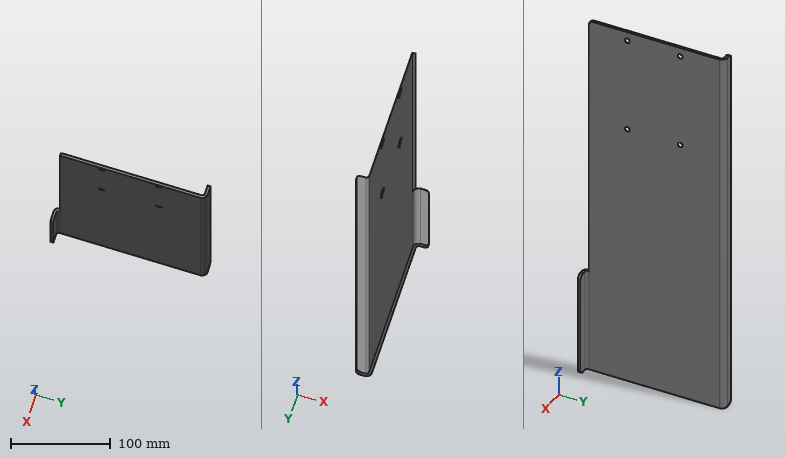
import cadquery as cq

height = 425.0
width = 160.0
depth = 27.0

thickness = 3.0
inner_bend_radius = 3.0
outer_bend_radius = inner_bend_radius + thickness
corner_radius = 5.0
short_flange_height = 120.0

hole_diameter = 5.0
countersink_diameter = 11.0
countersink_angle = 90
hole_spacing_y = 60.0
hole_spacing_z = 108.0
top_hole_inset = 10.0

plate_face = thickness / 2
flange_tip = depth / 2
back = width / 2
bend_tangent = back - outer_bend_radius


def edge_flange():
    """Bend and flange along the +Y edge, turned toward -X, over the full height."""
    bend_center_x = plate_face - outer_bend_radius
    profile = (
        cq.Workplane("XY")
        .moveTo(plate_face, bend_tangent)
        .radiusArc((bend_center_x, back), -outer_bend_radius)
        .lineTo(-flange_tip, back)
        .lineTo(-flange_tip, back - thickness)
        .lineTo(bend_center_x, back - thickness)
        .radiusArc((-plate_face, bend_tangent), inner_bend_radius)
        .close()
    )
    flange = profile.extrude(height)
    return flange.edges("|Y and <X").fillet(corner_radius)


def short_flange():
    """Lower part of the same flange, turned half a turn onto the -Y edge."""
    bend_center_x = outer_bend_radius - plate_face
    profile = (
        cq.Workplane("XY")
        .moveTo(-plate_face, -bend_tangent)
        .radiusArc((bend_center_x, -back), -outer_bend_radius)
        .lineTo(flange_tip, -back)
        .lineTo(flange_tip, -back + thickness)
        .lineTo(bend_center_x, -back + thickness)
        .radiusArc((plate_face, -bend_tangent), inner_bend_radius)
        .close()
    )
    flange = profile.extrude(short_flange_height)
    return flange.edges("|Y and >X").fillet(corner_radius)


def main_plate():
    """Flat plate between the bends, with its free top corner rounded."""
    plate = cq.Workplane("XY").box(
        thickness, 2 * bend_tangent, height, centered=(True, True, False)
    )
    return plate.edges("|X and <Y and >Z").fillet(corner_radius)


def drill_holes(body):
    """Cut four holes countersunk from the -X face."""
    top_row = height - top_hole_inset
    hole_points = [
        (y, z)
        for y in (-hole_spacing_y / 2, hole_spacing_y / 2)
        for z in (top_row, top_row - hole_spacing_z)
    ]
    face = cq.Workplane(cq.Plane(origin=(-plate_face, 0, 0), xDir=(0, -1, 0), normal=(-1, 0, 0)))
    cutters = face.add(body).pushPoints(hole_points)
    return cutters.cskHole(hole_diameter, countersink_diameter, countersink_angle)


sheet = main_plate().union(edge_flange()).union(short_flange())
result = drill_holes(sheet)